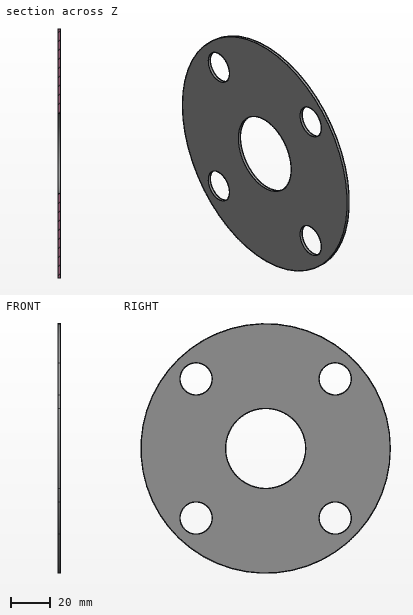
import cadquery as cq

outer_diameter = 125.0
thickness = 1.5
bore_diameter = 40.0
bolt_hole_diameter = 16.0
bolt_circle_diameter = 98.5
bolt_hole_count = 4
first_hole_angle = 45.0

disc = (
    cq.Workplane("YZ")
    .workplane(offset=-thickness / 2)
    .circle(outer_diameter / 2)
    .circle(bore_diameter / 2)
    .extrude(thickness)
)

bolt_holes = (
    cq.Workplane("YZ")
    .workplane(offset=-thickness / 2)
    .polarArray(bolt_circle_diameter / 2, first_hole_angle, 360, bolt_hole_count)
    .circle(bolt_hole_diameter / 2)
    .extrude(thickness)
)

result = disc.cut(bolt_holes)